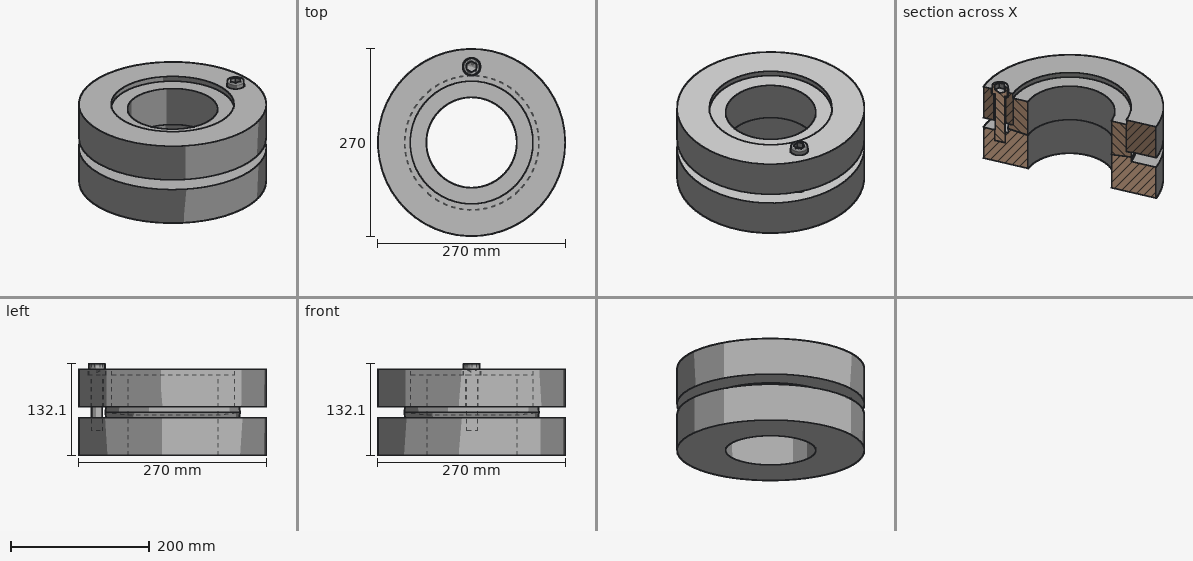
import cadquery as cq
import math

FLANGE_DIAMETER = 270.0
FLANGE_THICKNESS = 54.3
FLANGE_GAP = 15.7
BORE_DIAMETER = 130.0
UPPER_FLANGE_BASE = FLANGE_THICKNESS + FLANGE_GAP
STACK_HEIGHT = UPPER_FLANGE_BASE + FLANGE_THICKNESS

SLEEVE_DIAMETER = 176.8
SLEEVE_RECESS = 7.8
COLLAR_END_DIAMETER = 192.2
COLLAR_MID_DIAMETER = 194.5
SEAT_OUTER_Z = FLANGE_THICKNESS + FLANGE_GAP / 2
SEAT_INNER_Z = 58.3

SCREW_Y = 109.0
SCREW_DIAMETER = 16.0
SCREW_LENGTH = 80.0
HEAD_DIAMETER = 24.0
HEAD_HEIGHT = SCREW_DIAMETER
HEAD_FILLET = 1.5
HEAD_PROJECTION = 7.8
SOCKET_WIDTH = 13.8
SOCKET_DEPTH = 8.0
SOCKET_TIP_DEPTH = 4.0
SOCKET_CORNER_DIAMETER = SOCKET_WIDTH / math.cos(math.pi / 6)
CLEARANCE_DIAMETER = 18.0
COUNTERBORE_DIAMETER = 26.0
HEAD_TOP = STACK_HEIGHT + HEAD_PROJECTION
HEAD_BASE = HEAD_TOP - HEAD_HEIGHT
SCREW_END = HEAD_BASE - SCREW_LENGTH


def revolve_profile(points):
    """Revolve a closed (radius, height) outline about the Z axis."""
    return cq.Workplane("XZ").polyline(points).close().revolve(360, (0, 0), (0, 1))


def cylinder(diameter, bottom, top, y=0):
    return cq.Workplane("XY", origin=(0, y, bottom)).circle(diameter / 2).extrude(top - bottom)


def make_lower_flange():
    """Flange with a raised conical seat and a blind hole for the screw."""
    flange = revolve_profile([
        (BORE_DIAMETER / 2, 0),
        (FLANGE_DIAMETER / 2, 0),
        (FLANGE_DIAMETER / 2, FLANGE_THICKNESS),
        (COLLAR_END_DIAMETER / 2, FLANGE_THICKNESS),
        (COLLAR_MID_DIAMETER / 2, SEAT_OUTER_Z),
        (BORE_DIAMETER / 2, SEAT_INNER_Z),
    ])
    return flange.cut(cylinder(SCREW_DIAMETER, SCREW_END, FLANGE_THICKNESS, SCREW_Y))


def make_sleeve():
    """Bored sleeve with a tapered collar below the upper flange."""
    sleeve_top = STACK_HEIGHT - SLEEVE_RECESS
    return revolve_profile([
        (BORE_DIAMETER / 2, SEAT_INNER_Z),
        (COLLAR_MID_DIAMETER / 2, SEAT_OUTER_Z),
        (COLLAR_END_DIAMETER / 2, UPPER_FLANGE_BASE),
        (SLEEVE_DIAMETER / 2, UPPER_FLANGE_BASE),
        (SLEEVE_DIAMETER / 2, sleeve_top),
        (BORE_DIAMETER / 2, sleeve_top),
    ])


def make_upper_flange():
    """Flange around the sleeve, with a counterbored screw hole."""
    flange = cylinder(FLANGE_DIAMETER, UPPER_FLANGE_BASE, STACK_HEIGHT)
    flange = flange.cut(cylinder(SLEEVE_DIAMETER, UPPER_FLANGE_BASE, STACK_HEIGHT))
    flange = flange.cut(cylinder(CLEARANCE_DIAMETER, UPPER_FLANGE_BASE, STACK_HEIGHT, SCREW_Y))
    return flange.cut(cylinder(COUNTERBORE_DIAMETER, HEAD_BASE, STACK_HEIGHT, SCREW_Y))


def make_socket():
    """Hexagonal socket, corners toward +Y and -Y, with a conical bottom."""
    socket_floor = HEAD_TOP - SOCKET_DEPTH
    socket_tip = socket_floor - SOCKET_TIP_DEPTH
    hexagon = (
        cq.Workplane("XY", origin=(0, SCREW_Y, socket_tip))
        .transformed(rotate=(0, 0, 90))
        .polygon(6, SOCKET_CORNER_DIAMETER)
        .extrude(HEAD_TOP - socket_tip)
    )
    envelope_radius = HEAD_DIAMETER / 2
    envelope = revolve_profile([
        (0, socket_tip),
        (SOCKET_CORNER_DIAMETER / 2, socket_floor),
        (envelope_radius, socket_floor),
        (envelope_radius, HEAD_TOP),
        (0, HEAD_TOP),
    ]).translate((0, SCREW_Y, 0))
    return hexagon.intersect(envelope)


def make_screw():
    """Socket head cap screw with a rounded top edge on its head."""
    head = cylinder(HEAD_DIAMETER, HEAD_BASE, HEAD_TOP, SCREW_Y).faces(">Z").edges().fillet(HEAD_FILLET)
    shank = cylinder(SCREW_DIAMETER, SCREW_END, HEAD_BASE, SCREW_Y)
    return head.union(shank).cut(make_socket())


lower_flange = make_lower_flange()
sleeve = make_sleeve()
upper_flange = make_upper_flange()
screw = make_screw()

result = cq.Compound.makeCompound([
    lower_flange.val(),
    sleeve.val(),
    upper_flange.val(),
    screw.val(),
])